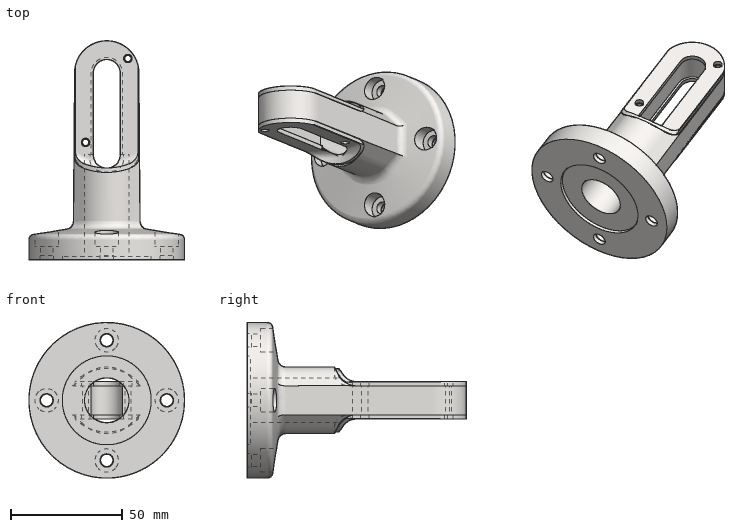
import cadquery as cq
import math

flange_radius = 35.0
cone_top_y = 14.35
cone_edge_y = 11.2
rim_fillet = 2.5
recess_radius = 20.0
recess_depth = 1.5
bolt_count = 4
bolt_circle_radius = 27.0
bolt_hole_radius = 2.75
bolt_entry_radius = 3.0
bolt_entry_depth = 2.0
bolt_head_radius = 5.25
bolt_head_seat_y = 6.0

neck_radius = 15.0
neck_start_y = 5.0
neck_fillet = 3.5
narrowing_start_y = 17.6
bore_radius = 10.0
arm_half_thickness = 6.5
arm_tip_radius = 14.5
arm_tip_center_y = 84.0
arm_slot_radius = 7.0

plate_thickness = 2.0
plate_half_width = 14.25
plate_slot_radius = 6.0
lip_height = 14.25
lip_crown_radius = 20.0
lip_root_fillet = 3.0
screw_places = [(9.5, 90.5), (-9.5, 52.8)]
plate_screw_radius = 1.9
arm_screw_radius = 1.4

shoulder_center_y = 69.3
shoulder_radius = 30.0
shoulder_root_fillet = lip_root_fillet + plate_thickness
lip_wall_radius = shoulder_radius - plate_thickness

plate_top_z = arm_half_thickness + plate_thickness
neck_end_y = shoulder_center_y - lip_wall_radius + neck_radius
slot_start_y = shoulder_center_y - lip_wall_radius + plate_slot_radius
cut_height = 2 * neck_radius


def cylinder_along_y(radius, start_y, end_y, x=0.0, z=0.0):
    solid = cq.Solid.makeCylinder(radius, end_y - start_y, cq.Vector(x, start_y, z), cq.Vector(0, 1, 0))
    return cq.Workplane(solid)


def cylinder_along_z(radius, bottom_z, top_z, x, y):
    return cq.Workplane(cq.Solid.makeCylinder(radius, top_z - bottom_z, cq.Vector(x, y, bottom_z)))


def slot_cut(radius, half_height):
    """Slot with round ends, between the shoulder and the tip of the arm."""
    center_distance = arm_tip_center_y - slot_start_y
    return (
        cq.Workplane("XY", origin=(0, slot_start_y + center_distance / 2, 0))
        .slot2D(center_distance + 2 * radius, 2 * radius, 90)
        .extrude(half_height, both=True)
    )


def arm_blank(start_half_width, tip_half_width, start_y, half_height):
    """Block with straight sides that meet the round tip, centred on Z = 0."""
    side_end_y = arm_tip_center_y + math.sqrt(arm_tip_radius**2 - tip_half_width**2)
    return (
        cq.Workplane("XY")
        .moveTo(-start_half_width, start_y)
        .lineTo(-tip_half_width, side_end_y)
        .threePointArc((0, arm_tip_center_y + arm_tip_radius), (tip_half_width, side_end_y))
        .lineTo(start_half_width, start_y)
        .close()
        .extrude(half_height, both=True)
    )


def shoulder_space(wall_radius, floor_z, root_fillet):
    """Space above the arm: a round wall towards the neck, filleted into a flat floor."""
    well = cylinder_along_z(wall_radius, floor_z, floor_z + cut_height, 0, shoulder_center_y)
    arm_side = (
        cq.Workplane("XY")
        .box(2 * wall_radius, arm_tip_center_y, cut_height, centered=(True, False, False))
        .translate((0, shoulder_center_y, floor_z))
    )
    return well.union(arm_side).faces("<Z").edges("%CIRCLE").fillet(root_fillet)


def make_flange():
    blank = (
        cq.Workplane("XY")
        .polyline([(0, 0), (flange_radius, 0), (flange_radius, cone_edge_y),
                   (neck_radius, cone_top_y), (0, cone_top_y)])
        .close()
        .revolve(360, (0, 0, 0), (0, 1, 0))
    )
    rim = cq.selectors.RadiusNthSelector(-1)
    return blank.edges("%CIRCLE").edges(rim).edges(">Y").fillet(rim_fillet)


def make_neck():
    """Bar with a round top and bottom, flat sides and, between them, planes tangent to the round."""
    tangent_angle = 2 * math.atan(arm_half_thickness / neck_radius)
    tangent_x = neck_radius * math.cos(tangent_angle)
    tangent_z = neck_radius * math.sin(tangent_angle)
    bar = (
        cq.Workplane("XZ", origin=(0, neck_start_y, 0))
        .moveTo(neck_radius, -arm_half_thickness)
        .lineTo(neck_radius, arm_half_thickness)
        .lineTo(tangent_x, tangent_z)
        .threePointArc((0, neck_radius), (-tangent_x, tangent_z))
        .lineTo(-neck_radius, arm_half_thickness)
        .lineTo(-neck_radius, -arm_half_thickness)
        .lineTo(-tangent_x, -tangent_z)
        .threePointArc((0, -neck_radius), (tangent_x, -tangent_z))
        .close()
        .extrude(neck_start_y - neck_end_y)
    )
    space = shoulder_space(shoulder_radius, arm_half_thickness, shoulder_root_fillet)
    parallel_root = (
        cq.Workplane("XY")
        .box(2 * neck_radius, narrowing_start_y - neck_start_y, 2 * cut_height, centered=(True, False, True))
        .translate((0, neck_start_y, 0))
    )
    narrowing_sides = arm_blank(neck_radius, arm_tip_radius, narrowing_start_y, cut_height)
    return bar.intersect(narrowing_sides.union(parallel_root)).cut(space).cut(space.mirror("XY"))


def cut_bolt_holes(body):
    for i in range(bolt_count):
        angle = 2 * math.pi * i / bolt_count
        x = bolt_circle_radius * math.cos(angle)
        z = bolt_circle_radius * math.sin(angle)
        body = body.cut(cylinder_along_y(bolt_hole_radius, 0, cone_top_y, x, z))
        body = body.cut(cylinder_along_y(bolt_entry_radius, 0, bolt_entry_depth, x, z))
        body = body.cut(cylinder_along_y(bolt_head_radius, bolt_head_seat_y, cone_top_y, x, z))
    return body


def cut_screw_holes(body, radius):
    for x, y in screw_places:
        body = body.cut(cylinder_along_z(radius, -cut_height, cut_height, x, y))
    return body


def make_housing():
    body = make_flange().union(make_neck())
    root_zone = cq.selectors.BoxSelector(
        (-flange_radius, cone_top_y - neck_fillet / 5, -flange_radius),
        (flange_radius, cone_top_y + neck_fillet / 5, flange_radius),
    )
    body = body.edges(root_zone).fillet(neck_fillet)
    body = body.union(arm_blank(neck_radius, arm_tip_radius, narrowing_start_y, arm_half_thickness))
    body = body.cut(cylinder_along_y(bore_radius, 0, slot_start_y))
    body = body.cut(cylinder_along_y(recess_radius, 0, recess_depth))
    body = body.cut(slot_cut(arm_slot_radius, arm_half_thickness))
    body = cut_bolt_holes(body)
    return cut_screw_holes(body, arm_screw_radius)


def make_top_plate():
    """Plate on the arm's upper face, turned up against the shoulder into a crowned lip."""
    blank = arm_blank(plate_half_width, plate_half_width, neck_start_y, cut_height)
    outer_space = shoulder_space(shoulder_radius, arm_half_thickness, shoulder_root_fillet)
    inner_space = shoulder_space(lip_wall_radius, plate_top_z, lip_root_fillet)
    plate = blank.intersect(outer_space).cut(inner_space)
    arm_end_y = arm_tip_center_y + arm_tip_radius
    plate = plate.intersect(
        cylinder_along_y(lip_crown_radius, 0, arm_end_y, z=lip_height - lip_crown_radius)
    )
    plate = plate.cut(slot_cut(plate_slot_radius, cut_height))
    plate = plate.cut(cylinder_along_y(bore_radius, 0, slot_start_y))
    return cut_screw_holes(plate, plate_screw_radius)


housing = make_housing()
top_plate = make_top_plate()
bottom_plate = top_plate.mirror("XY")

result = cq.Compound.makeCompound([
    housing.solids().val(),
    top_plate.solids().val(),
    bottom_plate.solids().val(),
])